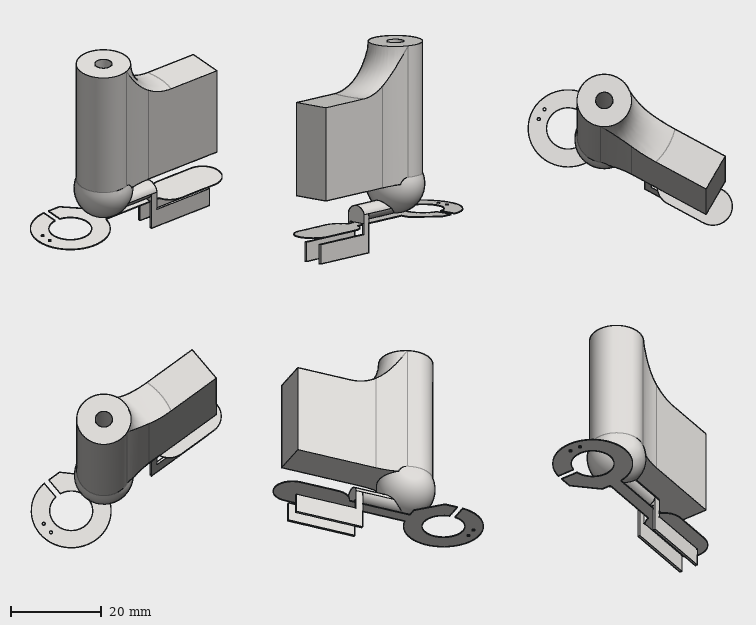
import cadquery as cq
import math

stem_radius = 6.0
stem_top = 32.05
ball_radius = 6.5
bore_radius = 3.75 / 2

blade_half_width = 4.3
blade_end = 28.05
blade_bottom = 1.05
blend_radius = 10.0
flank_radius = 2 * blend_radius

arm_half_width = 2.35
arm_half_height = 1.8
arm_center_z = -4.65
arm_end = 13.05

leg_gap_half_width = 1.8
leg_width = 1.6
leg_bottom = -13.5
web_bottom = -6.7
foot_end = 27.5
foot_top = -9.1

plate_thickness = 0.2
plate_center_z = -7.1
plate_length = 49.6
ring_radius = 17.6 / 2
ring_bore_radius = 4.7
ring_center_y = -9.1
slit_width = 1.3
pin_hole_diameter = 0.65
pin_hole_spacing = 2.6
pin_hole_offset = 6.65
tongue_width = 2 * blade_half_width
tongue_tip = ring_center_y - ring_radius + plate_length
tongue_start = 14.0
neck_width = 3.0


def make_box(x_range, y_range, z_range):
    """Box spanning the given (low, high) ranges."""
    lows, highs = zip(x_range, y_range, z_range)
    sizes = [high - low for low, high in zip(lows, highs)]
    return cq.Workplane("XY").box(*sizes, centered=False).translate(lows)


def make_blade():
    """Grip blade flaring tangentially into the stem, with its top swept up to the stem rim."""
    flank_x = blade_half_width + flank_radius
    flank_y = math.sqrt((stem_radius + flank_radius) ** 2 - flank_x ** 2)
    tangent_ratio = stem_radius / (stem_radius + flank_radius)
    tangent_x = flank_x * tangent_ratio
    tangent_y = flank_y * tangent_ratio
    blade = (
        cq.Workplane("XY", origin=(0, 0, blade_bottom))
        .moveTo(-blade_half_width, blade_end)
        .lineTo(blade_half_width, blade_end)
        .lineTo(blade_half_width, flank_y)
        .radiusArc((tangent_x, tangent_y), -flank_radius)
        .lineTo(0, 0)
        .lineTo(-tangent_x, tangent_y)
        .radiusArc((-blade_half_width, flank_y), -flank_radius)
        .close()
        .extrude(stem_top - blade_bottom)
    )
    blade_top = stem_top - blend_radius
    outside = 2 * blade_end
    blend_cutter = (
        cq.Workplane("XZ")
        .moveTo(stem_radius, stem_top)
        .radiusArc((stem_radius + blend_radius, blade_top), -blend_radius)
        .lineTo(outside, blade_top)
        .lineTo(outside, stem_top)
        .close()
        .revolve(360, (0, 0, 0), (0, 1, 0))
    )
    return blade.cut(blend_cutter)


def make_arm():
    """Lens-shaped arm ending in a saddle with two L-shaped legs."""
    arm = (
        cq.Workplane("XZ", origin=(0, 0, arm_center_z))
        .moveTo(-arm_half_width, 0)
        .threePointArc((0, arm_half_height), (arm_half_width, 0))
        .threePointArc((0, -arm_half_height), (-arm_half_width, 0))
        .close()
        .extrude(-arm_end)
    )
    leg_start = arm_end - leg_width
    saddle = make_box((-arm_half_width, arm_half_width), (leg_start, arm_end), (web_bottom, arm_center_z))
    arm = arm.union(saddle)
    for x_range in ((-arm_half_width, -leg_gap_half_width), (leg_gap_half_width, arm_half_width)):
        leg = make_box(x_range, (leg_start, arm_end), (leg_bottom, arm_center_z))
        foot = make_box(x_range, (leg_start, foot_end), (leg_bottom, foot_top))
        arm = arm.union(leg).union(foot)
    return arm


def make_holder():
    """Stem bored down to the ball, whose rounded top closes the bore."""
    shell = cq.Workplane("XY").circle(stem_radius).extrude(stem_top).union(make_blade())
    ball = cq.Workplane("XY").sphere(ball_radius)
    bore = cq.Workplane("XY").circle(bore_radius).extrude(stem_top)
    return shell.cut(bore).union(ball).union(make_arm())


def make_plate():
    base = cq.Workplane("XY", origin=(0, 0, plate_center_z - plate_thickness / 2))
    ring_plane = base.center(0, ring_center_y)
    disc = ring_plane.circle(ring_radius).extrude(plate_thickness)

    corner = ring_radius * (math.sqrt(2) - 1)
    tab = (
        ring_plane.moveTo(0, 0)
        .lineTo(-ring_radius, 0)
        .lineTo(-ring_radius, corner)
        .lineTo(-corner, ring_radius)
        .lineTo(0, ring_radius)
        .close()
        .extrude(plate_thickness)
    )

    tongue_length = tongue_tip - tongue_start
    tongue_center_y = (tongue_tip + tongue_start) / 2
    tongue = base.center(0, tongue_center_y).slot2D(tongue_length, tongue_width, 90).extrude(plate_thickness)

    neck_start = ring_center_y + (ring_radius + ring_bore_radius) / 2
    neck_length = tongue_center_y - neck_start
    neck = (
        base.center(0, neck_start + neck_length / 2)
        .rect(neck_width, neck_length)
        .extrude(plate_thickness)
    )

    ring_bore = ring_plane.circle(ring_bore_radius).extrude(plate_thickness)
    slit = ring_plane.center(-ring_radius / 2, 0).rect(ring_radius, slit_width).extrude(plate_thickness)
    pin_holes = (
        ring_plane.pushPoints([(side * pin_hole_spacing / 2, -pin_hole_offset) for side in (-1, 1)])
        .circle(pin_hole_diameter / 2)
        .extrude(plate_thickness)
    )
    plate = disc.union(tab).union(tongue).union(neck)
    return plate.cut(ring_bore).cut(slit).cut(pin_holes)


holder = make_holder()
plate = make_plate()
result = cq.Compound.makeCompound([holder.val(), plate.val()])